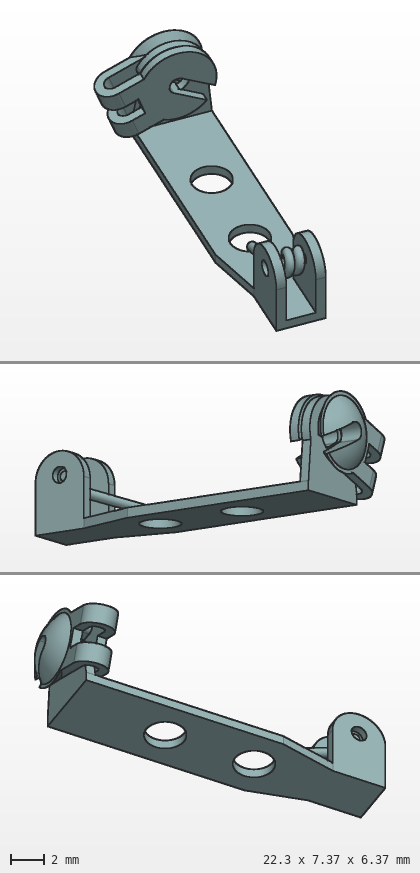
import cadquery as cq
import math


SHEET = 0.62

PLATE_LENGTH = 20.62
PLATE_WIDTH = 5.0
TAPER_START_X = 13.27
PLATE_HOLE_DIAMETER = 2.54
PLATE_HOLE_X = (6.62, 12.6)

EAR_LENGTH = 3.55
EAR_HEIGHT = 4.97
EAR_SPAN = 3.2
EAR_START_X = PLATE_LENGTH - EAR_LENGTH
EAR_THICKNESS = 0.65
EAR_INNER_Y = EAR_SPAN / 2 - EAR_THICKNESS
AXLE_X = PLATE_LENGTH - EAR_LENGTH / 2
AXLE_Z = 3.5
EAR_RECESS_DIAMETER = 1.0
EAR_RECESS_DEPTH = 0.5

LATCH_Z = 3.87
WALL_RADIUS = 2.36
WALL_SIDE_Y = 2.25
WALL_SLOT_Y = -1.95
WALL_HOLE_DIAMETER = 2.25
WALL_SLOT_WIDTH = 0.9
WALL_LIP_RADIUS = 0.45

LATCH_RADIUS = 2.5
LATCH_GAP = 1.0
LATCH_START_X = -0.88
LATCH_WIDTH = 2 * SHEET + LATCH_GAP
LATCH_BACK_X = LATCH_START_X + LATCH_WIDTH - SHEET
LATCH_REACH = 4.5
STRAP_OUTER = 1.87
STRAP_INNER = 0.64
WINDOW_START = 2.48
LATCH_TILT = 20.0
LATCH_SLOT_WIDTH = 1.1
LATCH_SLOT_TILT = 29.0
DOME_RADIUS = 2.24
DOME_HEIGHT = 0.885
HUB_DIAMETER = 1.76
PEG_DIAMETER = 0.37
PEG_Y = 0.57
PEG_RISE = 0.29

WIRE_DIAMETER = 0.62
COIL_RADIUS = 0.6
COIL_PITCH = 0.64
COIL_START_Y = 0.56
COIL_START_ANGLE = 108.0
LEG_TILT = 20.0
LEG_LENGTH = 5.53


def box(x_range, y_range, z_range):
    """Block between the given limits."""
    (x0, x1), (y0, y1), (z0, z1) = x_range, y_range, z_range
    return cq.Workplane("XY").box(x1 - x0, y1 - y0, z1 - z0, centered=False).translate((x0, y0, z0))


def rod_along_x(start_x, end_x, diameter):
    """Round bar on the latch axis."""
    plane = cq.Workplane("YZ", origin=(start_x, 0, LATCH_Z))
    return plane.circle(diameter / 2).extrude(end_x - start_x)


def rod_along_y(start_y, end_y, diameter):
    """Round bar on the hinge axis."""
    plane = cq.Workplane("XZ", origin=(AXLE_X, start_y, AXLE_Z))
    return plane.circle(diameter / 2).extrude(start_y - end_y)


def base_plate():
    half_width = PLATE_WIDTH / 2
    half_ears = EAR_SPAN / 2
    plate = (
        cq.Workplane("XY")
        .moveTo(0, -half_width)
        .lineTo(TAPER_START_X, -half_width)
        .lineTo(EAR_START_X, -half_ears)
        .lineTo(PLATE_LENGTH, -half_ears)
        .lineTo(PLATE_LENGTH, half_ears)
        .lineTo(EAR_START_X, half_ears)
        .lineTo(TAPER_START_X, half_width)
        .lineTo(0, half_width)
        .close()
        .extrude(SHEET)
    )
    hole_places = [(x, 0) for x in PLATE_HOLE_X]
    holes = cq.Workplane("XY").pushPoints(hole_places).circle(PLATE_HOLE_DIAMETER / 2).extrude(SHEET)
    return plate.cut(holes)


def hinge_ear(side):
    """Round-topped ear, side is +1 or -1 along Y."""
    shoulder_z = EAR_HEIGHT - EAR_LENGTH / 2
    outer_y = side * EAR_SPAN / 2
    ear = (
        cq.Workplane("XZ", origin=(0, side * EAR_INNER_Y, 0))
        .moveTo(EAR_START_X, 0)
        .lineTo(PLATE_LENGTH, 0)
        .lineTo(PLATE_LENGTH, shoulder_z)
        .threePointArc((AXLE_X, EAR_HEIGHT), (EAR_START_X, shoulder_z))
        .close()
        .extrude(-side * EAR_THICKNESS)
    )
    recess = rod_along_y(outer_y, outer_y - side * EAR_RECESS_DEPTH, EAR_RECESS_DIAMETER)
    bore = rod_along_y(outer_y, side * EAR_INNER_Y, WIRE_DIAMETER)
    return ear.cut(recess).cut(bore)


def latch_wall():
    """Upright wall with sloping sides, a round top, and a slot from -Y into its bearing hole."""
    side_z = LATCH_Z - math.sqrt(WALL_RADIUS**2 - WALL_SIDE_Y**2)
    half_slot = WALL_SLOT_WIDTH / 2
    lip_y = -math.sqrt(WALL_RADIUS**2 - half_slot**2)
    wall = (
        cq.Workplane("YZ")
        .moveTo(-PLATE_WIDTH / 2, 0)
        .lineTo(PLATE_WIDTH / 2, 0)
        .lineTo(PLATE_WIDTH / 2, SHEET)
        .lineTo(WALL_SIDE_Y, side_z)
        .threePointArc((0, LATCH_Z + WALL_RADIUS), (lip_y, LATCH_Z + half_slot))
        .lineTo(0, LATCH_Z + half_slot)
        .lineTo(0, LATCH_Z - half_slot)
        .lineTo(WALL_SLOT_Y, LATCH_Z - half_slot)
        .lineTo(-PLATE_WIDTH / 2, SHEET)
        .close()
        .extrude(SHEET)
    )
    lip = cq.selectors.NearestToPointSelector((SHEET / 2, lip_y, LATCH_Z + half_slot))
    wall = wall.edges(lip).fillet(WALL_LIP_RADIUS)
    return wall.cut(rod_along_x(0, SHEET, WALL_HOLE_DIAMETER))


def latch_strip():
    """U-bent strip pointing along -Y."""
    bend_y = -(LATCH_REACH - LATCH_WIDTH / 2)
    mid_x = LATCH_START_X + LATCH_WIDTH / 2

    def u_outline(width):
        plane = cq.Workplane("XY", origin=(0, 0, LATCH_Z - STRAP_OUTER))
        return (
            plane.moveTo(mid_x - width / 2, 0)
            .lineTo(mid_x - width / 2, bend_y)
            .threePointArc((mid_x, bend_y - width / 2), (mid_x + width / 2, bend_y))
            .lineTo(mid_x + width / 2, 0)
            .close()
            .extrude(2 * STRAP_OUTER)
        )

    return u_outline(LATCH_WIDTH).cut(u_outline(LATCH_GAP))


def strap_window():
    """Opening that splits the strip into two straps."""
    return box(
        (LATCH_START_X, LATCH_START_X + LATCH_WIDTH),
        (-LATCH_REACH, -WINDOW_START),
        (LATCH_Z - STRAP_INNER, LATCH_Z + STRAP_INNER),
    )


def dome_midpoint():
    """Point halfway along the dome's arc from its top to its rim."""
    sphere_radius = (DOME_RADIUS**2 + DOME_HEIGHT**2) / (2 * DOME_HEIGHT)
    half_angle = math.asin(DOME_RADIUS / sphere_radius) / 2
    top_x = LATCH_START_X - DOME_HEIGHT
    return (top_x + sphere_radius * (1 - math.cos(half_angle)), sphere_radius * math.sin(half_angle))


def latch_face():
    """Front disc, bevelled to its back face, with the dome on its front face."""
    back_x = LATCH_START_X + SHEET
    return (
        cq.Workplane("XY")
        .moveTo(LATCH_START_X - DOME_HEIGHT, 0)
        .threePointArc(dome_midpoint(), (LATCH_START_X, DOME_RADIUS))
        .lineTo(LATCH_START_X, LATCH_RADIUS)
        .lineTo(back_x, LATCH_RADIUS - SHEET)
        .lineTo(back_x, 0)
        .close()
        .revolve(360, (0, 0, 0), (1, 0, 0))
        .translate((0, 0, LATCH_Z))
    )


def turn_about_latch_axis(shape, angle):
    return shape.rotate((0, 0, LATCH_Z), (1, 0, LATCH_Z), angle)


def make_base():
    base = base_plate().union(latch_wall())
    for side in (-1, 1):
        base = base.union(hinge_ear(side))
    return base


def make_latch():
    strip = turn_about_latch_axis(latch_strip(), LATCH_TILT)
    window = turn_about_latch_axis(strap_window(), LATCH_TILT)
    back_disc = rod_along_x(LATCH_BACK_X, LATCH_BACK_X + SHEET, 2 * LATCH_RADIUS)
    hub = rod_along_x(0, LATCH_BACK_X, HUB_DIAMETER)
    slot_x = (LATCH_START_X - DOME_HEIGHT, LATCH_START_X + LATCH_WIDTH)
    half_slot = LATCH_SLOT_WIDTH / 2
    slot = box(slot_x, (0, 2 * LATCH_RADIUS), (LATCH_Z - half_slot, LATCH_Z + half_slot))
    slot = slot.union(rod_along_x(*slot_x, LATCH_SLOT_WIDTH))
    slot = turn_about_latch_axis(slot, -LATCH_SLOT_TILT)
    peg = rod_along_x(LATCH_START_X + SHEET, 0, PEG_DIAMETER).translate((0, PEG_Y, PEG_RISE))
    slotted = latch_face().union(strip).union(back_disc).union(hub).cut(window).cut(slot)
    return slotted.union(peg)


def make_pin():
    """Axle between the ears, a coil around it, and a straight leg leaving the coil."""
    leg_angle = LEG_TILT - 90 - 360
    turn = COIL_START_ANGLE - leg_angle
    height = COIL_PITCH * turn / 360
    helix = cq.Wire.makeHelix(COIL_PITCH, height, COIL_RADIUS, lefthand=True)
    section = cq.Workplane("XZ", origin=(COIL_RADIUS, 0, 0)).circle(WIRE_DIAMETER / 2)
    coil = section.sweep(cq.Workplane(helix), isFrenet=True)
    coil = coil.rotate((0, 0, 0), (1, 0, 0), 90)
    coil = coil.rotate((0, 0, 0), (0, 1, 0), -COIL_START_ANGLE)
    coil = coil.translate((AXLE_X, COIL_START_Y, AXLE_Z))

    axis_angle = math.radians(leg_angle)
    leg_start = (
        AXLE_X + COIL_RADIUS * math.cos(axis_angle),
        COIL_START_Y - height,
        AXLE_Z + COIL_RADIUS * math.sin(axis_angle),
    )
    tilt = math.radians(LEG_TILT)
    leg_plane = cq.Plane(leg_start, xDir=(0, 1, 0), normal=(-math.cos(tilt), 0, -math.sin(tilt)))
    leg = cq.Workplane(leg_plane).circle(WIRE_DIAMETER / 2).extrude(LEG_LENGTH)

    axle_end = EAR_SPAN / 2 - EAR_RECESS_DEPTH
    axle = rod_along_y(axle_end, -axle_end, WIRE_DIAMETER)
    return axle.union(coil).union(leg)


base = make_base()
latch = make_latch()
pin = make_pin()

result = cq.Compound.makeCompound([base.val(), latch.val(), pin.val()])